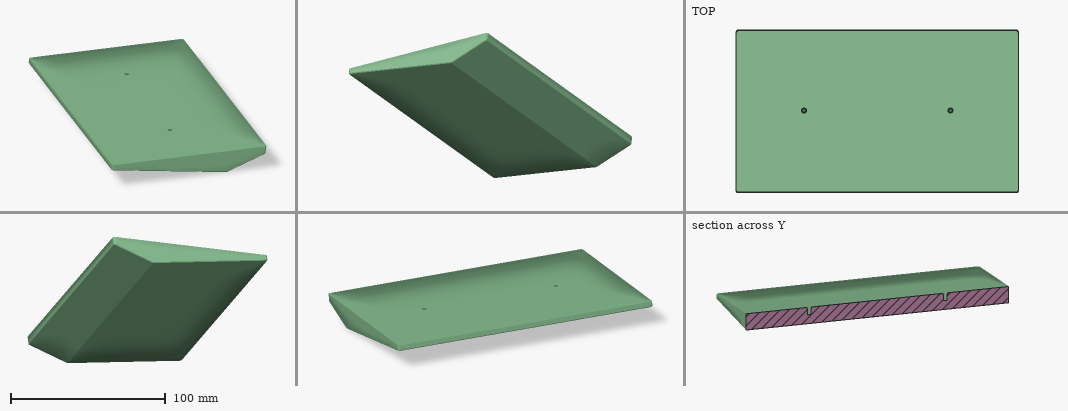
import cadquery as cq
import math

length = 182.65
width = 105.01
height = 14.9

ridge_y = 25.3
back_edge_depth = 5.1
front_edge_depth = 3.6
edge_lean_angle = 8.0

lean_slope = math.tan(math.radians(edge_lean_angle))
back_lean = back_edge_depth * lean_slope
front_lean = front_edge_depth * lean_slope

corner_chamfer = 1.0
underside_chamfer = 0.5

hole_spacing = 94.6
hole_y = 0.6
mouth_diameter = 3.09
mouth_depth = 1.0
bore_diameter = 2.53
bore_depth = 5.0

front_y = -width / 2 - underside_chamfer * math.sin(math.radians(edge_lean_angle))
back_y = width / 2


def make_wedge():
    """Five-sided profile in the YZ plane, extruded evenly to both sides along X."""
    profile = [
        (front_y + front_lean, 0),
        (back_y, 0),
        (back_y - back_lean, -back_edge_depth),
        (ridge_y, -height),
        (front_y, -front_edge_depth),
    ]
    return cq.Workplane("YZ").polyline(profile).close().extrude(length / 2, both=True)


def edges_near(body, x, y, z):
    """Edges of the body whose centres lie close to the given point."""
    reach = 0.6
    box = cq.selectors.BoxSelector(
        (x - reach, y - reach, z - reach),
        (x + reach, y + reach, z + reach),
    )
    return body.edges(box)


def chamfer_upright_corners(body):
    """Break the four short edges where the front and back faces meet the ends."""
    for end_x in (-length / 2, length / 2):
        front_edge = edges_near(body, end_x, front_y + front_lean / 2, -front_edge_depth / 2)
        body = front_edge.chamfer(corner_chamfer)
        back_edge = edges_near(body, end_x, back_y - back_lean / 2, -back_edge_depth / 2)
        body = back_edge.chamfer(corner_chamfer)
    return body


def chamfer_underside(body):
    """Break the front lower edge, its corners and the end edges of the two sloping faces."""
    front_slope_y = (ridge_y + front_y) / 2
    front_slope_z = -(height + front_edge_depth) / 2
    back_slope_y = (ridge_y + back_y - back_lean) / 2
    back_slope_z = -(height + back_edge_depth) / 2
    rim = edges_near(body, 0, front_y, -front_edge_depth)
    for end_x in (-length / 2, length / 2):
        corner_x = end_x - math.copysign(corner_chamfer / 2, end_x)
        rim = rim.add(edges_near(body, corner_x, front_y + corner_chamfer / 2, -front_edge_depth))
        rim = rim.add(edges_near(body, end_x, front_slope_y, front_slope_z))
        rim = rim.add(edges_near(body, end_x, back_slope_y, back_slope_z))
    return rim.chamfer(underside_chamfer)


def make_hole(x):
    """Solid of one blind hole: a shallow wider mouth above a flat-bottomed bore."""
    top = cq.Workplane("XY").center(x, hole_y)
    mouth = top.circle(mouth_diameter / 2).extrude(-mouth_depth)
    bore = top.circle(bore_diameter / 2).extrude(-bore_depth)
    return mouth.union(bore)


result = chamfer_underside(chamfer_upright_corners(make_wedge()))
for hole_x in (-hole_spacing / 2, hole_spacing / 2):
    result = result.cut(make_hole(hole_x))